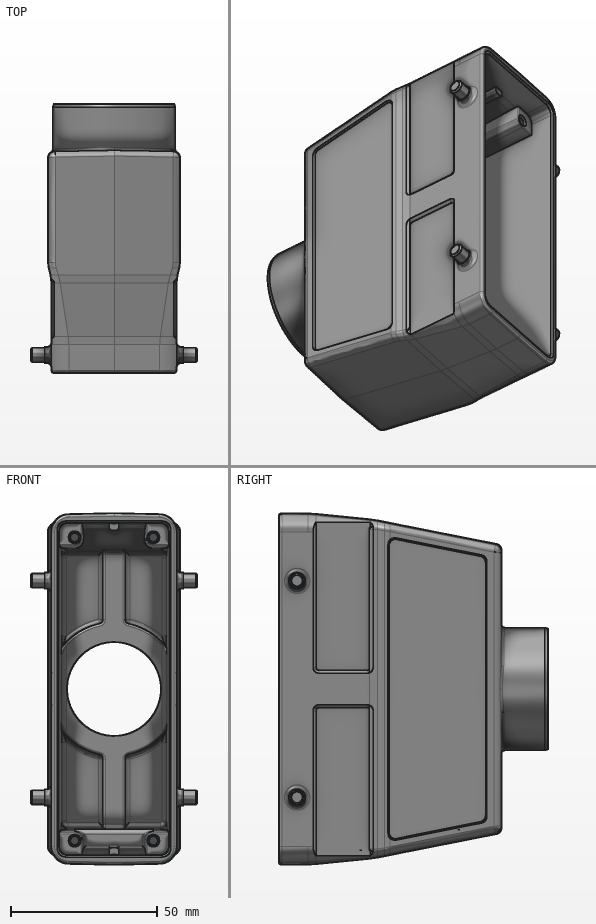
import cadquery as cq
import math


MOUTH_HALF_WIDTH = 21.4
HOOD_HALF_WIDTH = 22.6
HALF_HEIGHT = 60.1
BACK_Y = 76.1
MOUTH_END_Y = 11.2
HOOD_START_Y = 32.2
HOOD_FULL_Y = 37.0
MOUTH_CORNER_R = 6.0
HOOD_CORNER_R = 2.5
BEND = 1.4
SIDE_BEND = 0.95
WALL_DRAFT = 1.2
DRAFT = 1.0
HOOD_EDGE_R = 2.3
RIM_OUTER_R = 1.0
RIM_INNER_CHAMFER = 0.6

OUTER_HEIGHT = [(0, HALF_HEIGHT), (MOUTH_END_Y, 60.0), (HOOD_START_Y, 57.9), (BACK_Y, 49.2)]
OUTER_WIDTH = [
    (0, MOUTH_HALF_WIDTH),
    (HOOD_START_Y, MOUTH_HALF_WIDTH),
    (HOOD_FULL_Y, HOOD_HALF_WIDTH),
    (BACK_Y, HOOD_HALF_WIDTH),
]
OUTER_CORNER = [
    (0, MOUTH_CORNER_R),
    (MOUTH_END_Y, MOUTH_CORNER_R),
    (HOOD_START_Y, 2.8),
    (HOOD_FULL_Y, HOOD_CORNER_R),
    (BACK_Y, HOOD_CORNER_R),
]
OUTER_STATIONS = [
    0,
    MOUTH_END_Y - BEND,
    MOUTH_END_Y + BEND,
    HOOD_START_Y - BEND,
    HOOD_START_Y + BEND,
    HOOD_FULL_Y - SIDE_BEND,
    HOOD_FULL_Y + SIDE_BEND,
    BACK_Y,
]

FLOOR_Y = 73.5
PLATEAU_Y = 70.5
PLATEAU_R = 22.9
PLATEAU_RIB_WIDTH = 7.6
PLATEAU_CORNER_R = 1.5
PLATEAU_EDGE_R = 0.8
FLOOR_R = 1.6
CAVITY_MOUTH_HALF_HEIGHT = 56.8
CAVITY_FLOOR_HALF_HEIGHT = 46.8
CAVITY_MOUTH_HALF_WIDTH = 18.8
CAVITY_MOUTH_CORNER_R = 3.0
CAVITY_HEIGHT = [
    (0, CAVITY_MOUTH_HALF_HEIGHT),
    (MOUTH_END_Y, 56.6),
    (HOOD_START_Y, 54.7),
    (FLOOR_Y, CAVITY_FLOOR_HALF_HEIGHT),
]
CAVITY_WIDTH = [(0, CAVITY_MOUTH_HALF_WIDTH), (FLOOR_Y, 17.9)]
CAVITY_CORNER = [(0, CAVITY_MOUTH_CORNER_R), (FLOOR_Y, 2.0)]
CAVITY_STATIONS = [
    0,
    MOUTH_END_Y - BEND,
    MOUTH_END_Y + BEND,
    HOOD_START_Y - BEND,
    HOOD_START_Y + BEND,
    FLOOR_Y,
]

NIPPLE_R = 21.0
NIPPLE_END_Y = 92.0
NIPPLE_CHAMFER_LENGTH = 1.2
NIPPLE_CHAMFER_DEPTH = 0.4
NIPPLE_BASE_R = 1.0
BORE_R = 16.0

PIN_TIP_X = 28.5
PIN_R = 2.5
PIN_CHAMFER = 0.6
PIN_Y = 6.2
PIN_Z = 37.0
COLLAR_R = 2.8
COLLAR_END_X = 23.7
COLLAR_BASE_R = 1.5

RECESS_DEPTH = 1.0
RECESS_START_Y = 11.7
RECESS_END_Y = HOOD_START_Y
RECESS_INNER_Z = 5.4
RECESS_CORNER_R = 2.0
PANEL_DEPTH = 0.5
PANEL_FRONT_Y = 37.2
PANEL_BACK_Y = 71.1
PANEL_FRONT_HALF_HEIGHT = 52.2
PANEL_BACK_HALF_HEIGHT = 45.4
PANEL_CORNER_R = 2.5
RECESS_WALL_ANGLE = 45

BOSS_START_Y = 8.7
BOSS_INNER_X = 11.0
BOSS_INNER_Z = 49.0
BOSS_EDGE_R = 0.4
SCREW_X = 13.45
SCREW_Z = 51.8
SCREW_R = 1.5
SCREW_CHAMFER = 0.6
SCREW_CHAMFER_ANGLE = 45
SCREW_DEPTH = 15.0
BOSS_CORNER_R = SCREW_X - BOSS_INNER_X
GUIDE_HALF_WIDTH = 1.7
GUIDE_TOP_Z = 54.2
GUIDE_TOP_R = 1.0
WEB_START_Y = 34.2
WEB_TOP_Z = 47.9
WEB_EDGE_R = 1.7
WEB_ROOT_R = 1.0
WALL_OVERLAP = 1.0

TOLERANCE = 0.01


def interpolate(points, y):
    """Value at y on a line through the (y, value) break points."""
    for (y0, v0), (y1, v1) in zip(points, points[1:]):
        if y <= y1:
            return v0 + (v1 - v0) * (y - y0) / (y1 - y0)
    return points[-1][1]


def peaked_section(y, half_width, half_height, corner_r):
    """Rounded rectangle across Y whose two ends are slightly peaked at X = 0."""
    fall = math.tan(math.radians(WALL_DRAFT))
    tangent = corner_r / math.tan(math.radians((90 + WALL_DRAFT) / 2))
    side_z = half_height - half_width * fall - tangent
    end_x = half_width - tangent * math.cos(math.radians(WALL_DRAFT))
    end_z = half_height - end_x * fall
    return (
        cq.Workplane("XZ", origin=(0, y, 0))
        .moveTo(0, half_height)
        .lineTo(end_x, end_z)
        .tangentArcPoint((half_width, side_z), relative=False)
        .lineTo(half_width, -side_z)
        .tangentArcPoint((end_x, -end_z), relative=False)
        .lineTo(0, -half_height)
        .lineTo(-end_x, -end_z)
        .tangentArcPoint((-half_width, -side_z), relative=False)
        .lineTo(-half_width, side_z)
        .tangentArcPoint((-end_x, end_z), relative=False)
        .close()
        .val()
    )


def plain_section(y, half_width, half_height, corner_r):
    """Rounded rectangle across Y."""
    tangent_x = half_width - corner_r
    tangent_z = half_height - corner_r
    return (
        cq.Workplane("XZ", origin=(0, y, 0))
        .moveTo(-tangent_x, half_height)
        .lineTo(tangent_x, half_height)
        .tangentArcPoint((half_width, tangent_z), relative=False)
        .lineTo(half_width, -tangent_z)
        .tangentArcPoint((tangent_x, -half_height), relative=False)
        .lineTo(-tangent_x, -half_height)
        .tangentArcPoint((-half_width, -tangent_z), relative=False)
        .lineTo(-half_width, tangent_z)
        .tangentArcPoint((-tangent_x, half_height), relative=False)
        .close()
        .val()
    )


def loft(section, stations, widths, heights, corners, growth=0.0):
    """Straight-sided solid through the sections at all stations."""
    wires = [
        section(
            y,
            interpolate(widths, y) + growth,
            interpolate(heights, y) + growth,
            interpolate(corners, y),
        )
        for y in stations
    ]
    return cq.Workplane(cq.Solid.makeLoft(wires, True))


def mirrored(solid, plane):
    return solid.union(solid.mirror(plane))


def edges_at(solid, y, x_max=math.inf):
    """Edges that lie in the plane at distance y, out to |x| = x_max."""
    found = []
    for edge in solid.edges().vals():
        box = edge.BoundingBox()
        in_plane = box.ymax - box.ymin < TOLERANCE and abs(edge.Center().y - y) < TOLERANCE
        if in_plane and abs(edge.Center().x) < x_max:
            found.append(edge)
    return solid.newObject(found)


def shell_body():
    body = loft(peaked_section, OUTER_STATIONS, OUTER_WIDTH, OUTER_HEIGHT, OUTER_CORNER)
    back_fall = HOOD_HALF_WIDTH * math.tan(math.radians(DRAFT))
    keep = (
        cq.Workplane("XY")
        .moveTo(0, BACK_Y)
        .lineTo(HOOD_HALF_WIDTH, BACK_Y - back_fall)
        .lineTo(HOOD_HALF_WIDTH, 0)
        .lineTo(-HOOD_HALF_WIDTH, 0)
        .lineTo(-HOOD_HALF_WIDTH, BACK_Y - back_fall)
        .close()
        .extrude(HALF_HEIGHT, both=True)
    )
    body = body.intersect(keep)
    body = edges_at(body, 0).fillet(RIM_OUTER_R)
    outline = [
        edge
        for edge in body.edges().vals()
        if edge.BoundingBox().ymin > BACK_Y - back_fall - TOLERANCE
        and edge.Center().y < BACK_Y - TOLERANCE
    ]
    return body.newObject(outline).fillet(HOOD_EDGE_R)


def nipple():
    chamfer_start_y = NIPPLE_END_Y - NIPPLE_CHAMFER_LENGTH
    return (
        cq.Workplane("XY")
        .moveTo(0, PLATEAU_Y)
        .lineTo(NIPPLE_R, PLATEAU_Y)
        .lineTo(NIPPLE_R, chamfer_start_y)
        .lineTo(NIPPLE_R - NIPPLE_CHAMFER_DEPTH, NIPPLE_END_Y)
        .lineTo(0, NIPPLE_END_Y)
        .close()
        .revolve(360, (0, 0, 0), (0, 1, 0))
    )


def add_nipple(body):
    body = body.union(nipple())
    base = []
    for edge in body.edges().vals():
        box = edge.BoundingBox()
        middle = edge.positionAt(0.5)
        around_nipple = abs(math.hypot(middle.x, middle.z) - NIPPLE_R) < TOLERANCE
        if around_nipple and edge.geomType() != "LINE" and box.ymax < BACK_Y + TOLERANCE:
            base.append(edge)
    return body.newObject(base).fillet(NIPPLE_BASE_R)


def pin():
    """Locking pin on the +X side with its collar and flared base, before placing."""
    return (
        cq.Workplane("XY")
        .moveTo(MOUTH_HALF_WIDTH - WALL_OVERLAP, 0)
        .lineTo(PIN_TIP_X, 0)
        .lineTo(PIN_TIP_X, -(PIN_R - PIN_CHAMFER))
        .lineTo(PIN_TIP_X - PIN_CHAMFER, -PIN_R)
        .lineTo(COLLAR_END_X, -PIN_R)
        .lineTo(COLLAR_END_X, -COLLAR_R)
        .lineTo(MOUTH_HALF_WIDTH + COLLAR_BASE_R, -COLLAR_R)
        .tangentArcPoint((MOUTH_HALF_WIDTH, -COLLAR_R - COLLAR_BASE_R), relative=False)
        .lineTo(MOUTH_HALF_WIDTH - WALL_OVERLAP, -COLLAR_R - COLLAR_BASE_R)
        .close()
        .revolve(360, (0, 0, 0), (1, 0, 0))
    )


def pins():
    upper = pin().translate((0, PIN_Y, PIN_Z))
    return mirrored(mirrored(upper, "XY"), "YZ")


def wall_recess(outline, half_width, depth):
    """Sunk area on both side walls; its walls slope in from the given YZ outline."""
    recess = outline.extrude(-depth, taper=RECESS_WALL_ANGLE)
    return mirrored(recess.translate((half_width, 0, 0)), "YZ")


def mouth_recesses():
    """Four recesses near the mouth that run out through the rounded corners."""
    open_end_z = HALF_HEIGHT + 2 * RECESS_DEPTH
    center_y = (RECESS_START_Y + RECESS_END_Y) / 2
    center_z = (RECESS_INNER_Z + open_end_z) / 2
    outline = (
        cq.Sketch()
        .push([(center_y, center_z)])
        .rect(RECESS_END_Y - RECESS_START_Y, open_end_z - RECESS_INNER_Z)
        .reset()
        .vertices()
        .fillet(RECESS_CORNER_R)
    )
    upper = wall_recess(cq.Workplane("YZ").placeSketch(outline), MOUTH_HALF_WIDTH, RECESS_DEPTH)
    return mirrored(upper, "XY")


def hood_panels():
    """Large shallow panel on each side wall of the hood."""
    corners = [
        (PANEL_FRONT_Y, PANEL_FRONT_HALF_HEIGHT),
        (PANEL_BACK_Y, PANEL_BACK_HALF_HEIGHT),
        (PANEL_BACK_Y, -PANEL_BACK_HALF_HEIGHT),
        (PANEL_FRONT_Y, -PANEL_FRONT_HALF_HEIGHT),
    ]
    outline = cq.Sketch().polygon(corners + corners[:1]).vertices().fillet(PANEL_CORNER_R)
    return wall_recess(cq.Workplane("YZ").placeSketch(outline), HOOD_HALF_WIDTH, PANEL_DEPTH)


def cavity_loft(growth=0.0):
    return loft(
        plain_section, CAVITY_STATIONS, CAVITY_WIDTH, CAVITY_HEIGHT, CAVITY_CORNER, growth
    )


def floor_pocket():
    """One of the four deeper pockets around the plateau (+X, +Z quarter)."""
    start_y = PLATEAU_Y - 2 * FLOOR_R
    depth = FLOOR_Y - start_y
    quarter = (
        cq.Workplane("XZ", origin=(PLATEAU_RIB_WIDTH / 2, start_y, 0))
        .rect(HOOD_HALF_WIDTH, HALF_HEIGHT, centered=False)
        .extrude(-depth)
    )
    land = cq.Workplane("XZ", origin=(0, start_y, 0)).circle(PLATEAU_R).extrude(-depth)
    pocket = cavity_loft().intersect(quarter.cut(land))
    pocket = pocket.edges(cq.NearestToPointSelector((0, FLOOR_Y - depth / 2, PLATEAU_R)))
    pocket = pocket.fillet(PLATEAU_CORNER_R)
    return edges_at(pocket, FLOOR_Y).fillet(FLOOR_R)


def cavity():
    above_plateau = (
        cq.Workplane("XZ").rect(3 * HALF_HEIGHT, 3 * HALF_HEIGHT).extrude(-PLATEAU_Y)
    )
    space = edges_at(cavity_loft().intersect(above_plateau), PLATEAU_Y).fillet(FLOOR_R)
    upper_right = floor_pocket()
    lower_right = upper_right.mirror("XY")
    for pocket in (upper_right, lower_right, upper_right.mirror("YZ"), lower_right.mirror("YZ")):
        space = space.union(pocket)
    land_outline = [
        edge
        for edge in edges_at(space, PLATEAU_Y, x_max=PLATEAU_RIB_WIDTH).vals()
        if 0.9 * PLATEAU_R < abs(edge.Center().z) < CAVITY_FLOOR_HALF_HEIGHT - 2 * FLOOR_R
    ]
    return space.newObject(land_outline).fillet(PLATEAU_EDGE_R)


def mouth_chamfer():
    """Bevel around the inner edge of the rim."""
    wires = [
        plain_section(
            y,
            CAVITY_MOUTH_HALF_WIDTH + RIM_INNER_CHAMFER - y,
            CAVITY_MOUTH_HALF_HEIGHT + RIM_INNER_CHAMFER - y,
            CAVITY_MOUTH_CORNER_R,
        )
        for y in (0, RIM_INNER_CHAMFER)
    ]
    return cq.Workplane(cq.Solid.makeLoft(wires, True))


def screw_boss():
    """Boss that follows the cavity corner (+X, +Z quarter), rounded about its screw."""
    outer_x = CAVITY_MOUTH_HALF_WIDTH + WALL_OVERLAP
    outer_z = CAVITY_MOUTH_HALF_HEIGHT + WALL_OVERLAP
    boss = (
        cq.Workplane("XZ", origin=(0, BOSS_START_Y, 0))
        .moveTo(outer_x, outer_z)
        .lineTo(BOSS_INNER_X, outer_z)
        .lineTo(BOSS_INNER_X, BOSS_INNER_Z + BOSS_CORNER_R)
        .tangentArcPoint((BOSS_INNER_X + BOSS_CORNER_R, BOSS_INNER_Z), relative=False)
        .lineTo(outer_x, BOSS_INNER_Z)
        .close()
        .extrude(BOSS_START_Y - PLATEAU_Y, taper=-DRAFT)
    )
    return boss.faces("<Y").edges().fillet(BOSS_EDGE_R)


def guide_rib():
    """Straight rib on the middle of the upper end wall."""
    height = CAVITY_MOUTH_HALF_HEIGHT + WALL_OVERLAP - GUIDE_TOP_Z
    return (
        cq.Workplane("XZ", origin=(0, BOSS_START_Y, GUIDE_TOP_Z + height / 2))
        .rect(2 * GUIDE_HALF_WIDTH, height)
        .extrude(BOSS_START_Y - PLATEAU_Y)
        .edges("|Y and <Z")
        .fillet(GUIDE_TOP_R)
    )


def web():
    """Solid step between the bosses of the lower end wall."""
    height = CAVITY_MOUTH_HALF_HEIGHT - WEB_TOP_Z
    return (
        cq.Workplane("XZ", origin=(0, WEB_START_Y, -WEB_TOP_Z - height / 2))
        .rect(2 * SCREW_X, height)
        .extrude(WEB_START_Y - PLATEAU_Y)
        .edges("<Y and >Z")
        .fillet(WEB_EDGE_R)
    )


def inner_features():
    bosses = mirrored(mirrored(screw_boss(), "XY"), "YZ")
    features = bosses.union(mirrored(guide_rib(), "XY")).union(web())
    return features.intersect(cavity_loft(growth=WALL_OVERLAP))


def add_inner_features(body):
    """Join the inner features and round the roots of the web front."""
    body = body.union(inner_features())
    roots = [
        edge
        for edge in edges_at(body, WEB_START_Y, x_max=SCREW_X).vals()
        if -CAVITY_MOUTH_HALF_HEIGHT < edge.Center().z < -BOSS_INNER_Z - BOSS_CORNER_R
    ]
    return body.newObject(roots).fillet(WEB_ROOT_R)


def screw_hole():
    """Blind screw hole with a chamfered mouth (+X, +Z quarter)."""
    center = (SCREW_X, BOSS_START_Y, SCREW_Z)
    hole = cq.Workplane("XZ", origin=center).circle(SCREW_R).extrude(-SCREW_DEPTH)
    mouth = (
        cq.Workplane("XZ", origin=center)
        .circle(SCREW_R + SCREW_CHAMFER)
        .extrude(-SCREW_CHAMFER, taper=SCREW_CHAMFER_ANGLE)
    )
    return hole.union(mouth)


def build():
    body = add_nipple(shell_body())
    body = body.union(pins())
    body = body.cut(mouth_recesses()).cut(hood_panels())
    body = body.cut(cavity()).cut(mouth_chamfer())
    body = add_inner_features(body)
    body = body.cut(mirrored(mirrored(screw_hole(), "XY"), "YZ"))
    bore = cq.Workplane("XZ").circle(BORE_R).extrude(-NIPPLE_END_Y)
    return body.cut(bore)


result = build()